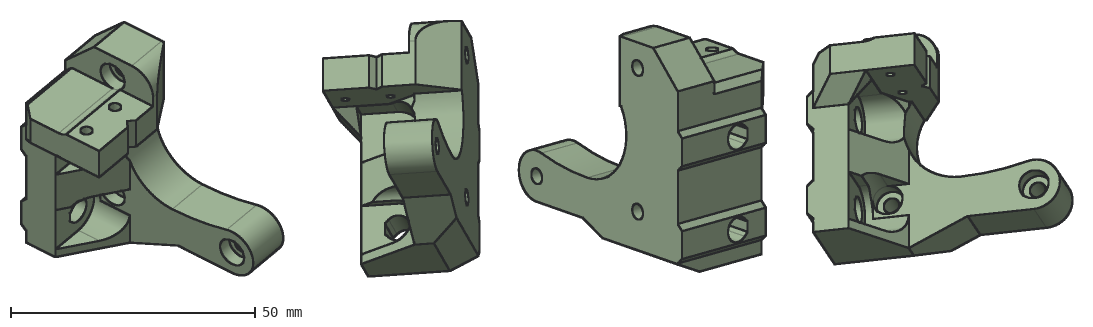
import cadquery as cq
import math


hole_pitch = 31.0
hole_centers = [(0, 0), (hole_pitch, 0), (0, hole_pitch)]
screw_dia = 3.3
head_radius = 6.2 / 2
head_floor_depth = 7.0
bore_center = hole_pitch / 2
bore_radius = 12.0

plate_depth = 10.05
boss_radius = 5.5
wall_depth = 23.0
wall_left = -12.35
wall_right = -4.75
bottom = -11.25
top = hole_pitch + boss_radius
top_chamfer = 7.5
gusset_right = 4.45
foot_right = 16.95

arm_right = 10.5
arm_depth = 28.0
arm_bottom = 21.45
arm_top = 28.55
arm_low_top = hole_pitch - head_radius
arm_edge_chamfer = 1.7
arm_overhang = arm_depth - wall_depth
relief_left = 5.5
relief_depth = 8.65

pin_depths = [15.0, 24.45]
pin_top_dia = 2.5
pin_bottom_dia = 1.6
notch_size = 1.35
notch_depth = 17.0

rail_levels = [-3.85, 16.15]
rail_screw_depth = 15.35
rail_screw_radius = 2.7
rail_head_radius = 5.25
tongue_height = 1.3
tongue_base = 8.55
tongue_tip = 6.0

bevel_depth = 5.95
bevel_height = 2.85


def frontal_plane(depth=0.0):
    """XZ sketch plane at a depth; extrusions run towards -Y."""
    return cq.Workplane("XZ", origin=(0, -depth, 0))


def plan_prism(points, low, high):
    """Vertical prism between two levels from (x, depth) points."""
    outline = [(x, -depth) for x, depth in points]
    return cq.Workplane("XY", origin=(0, 0, low)).polyline(outline).close().extrude(high - low)


def side_prism(points, left, right):
    """Prism along X from (depth, z) points."""
    outline = [(-depth, z) for depth, z in points]
    return cq.Workplane("YZ", origin=(left, 0, 0)).polyline(outline).close().extrude(right - left)


def make_plate():
    """Motor plate, still without the bore; the blend is tangent to the bore and the end boss."""
    bore_low = bore_center - bore_radius
    run = hole_pitch - bore_center
    blend_radius = (run**2 + bore_low**2 - boss_radius**2) / (2 * (boss_radius - bore_low))
    blend_center_z = bore_low + blend_radius
    blend_angle = math.atan2(run, blend_center_z)

    def blend_point(angle):
        x = bore_center + blend_radius * math.sin(angle)
        return (x, blend_center_z - blend_radius * math.cos(angle))

    plate = (
        frontal_plane()
        .moveTo(wall_left, bottom)
        .lineTo(gusset_right, bottom)
        .lineTo(foot_right, -boss_radius)
        .lineTo(hole_pitch, -boss_radius)
        .threePointArc((hole_pitch + boss_radius, 0), blend_point(blend_angle))
        .threePointArc(blend_point(blend_angle / 2), (bore_center, bore_low))
        .lineTo(bore_center, arm_bottom)
        .lineTo(arm_right, arm_bottom)
        .lineTo(arm_right, top - boss_radius)
        .radiusArc((arm_right - boss_radius, top), -boss_radius)
        .lineTo(wall_left + top_chamfer, top)
        .lineTo(wall_left, top - top_chamfer)
        .close()
        .extrude(plate_depth)
    )
    relief = plan_prism(
        [(relief_left, 0), (arm_right, relief_depth), (arm_right, 0)], arm_bottom, top
    )
    return plate.cut(relief)


def make_wall():
    """Wall carrying the rail, with a slanted gusset that runs out on the plate face."""
    outline = [
        (wall_left, 0),
        (wall_left, wall_depth),
        (wall_right, wall_depth),
        (gusset_right, plate_depth),
        (gusset_right, 0),
    ]
    return plan_prism(outline, bottom, arm_bottom)


def make_bore():
    """Left part of the round bore, ending level with the underside of the arm."""
    end_x = bore_center - math.sqrt(bore_radius**2 - (arm_bottom - bore_center) ** 2)
    middle = bore_center - bore_radius * math.sqrt(0.5)
    return (
        frontal_plane()
        .moveTo(bore_center, bore_center - bore_radius)
        .threePointArc((middle, middle), (end_x, arm_bottom))
        .lineTo(bore_center, arm_bottom)
        .close()
        .extrude(wall_depth)
    )


def make_arm():
    """Arm over the wall, grooved by the upper screw head path and braced at 45 degrees below."""
    groove_right = math.sqrt(head_radius**2 - (hole_pitch - arm_top) ** 2)
    brace_bottom = arm_bottom - arm_overhang
    arm = (
        frontal_plane(plate_depth)
        .moveTo(wall_left, brace_bottom)
        .lineTo(wall_right, brace_bottom)
        .lineTo(wall_right + arm_overhang, arm_bottom)
        .lineTo(arm_right, arm_bottom)
        .lineTo(arm_right, arm_top)
        .lineTo(groove_right, arm_top)
        .radiusArc((0, arm_low_top), head_radius)
        .lineTo(wall_left + arm_edge_chamfer, arm_low_top)
        .lineTo(wall_left, arm_low_top - arm_edge_chamfer)
        .close()
        .extrude(arm_depth - plate_depth)
    )
    underside = side_prism(
        [(wall_depth, brace_bottom), (arm_depth, arm_bottom), (arm_depth, brace_bottom)],
        wall_left,
        arm_right,
    )
    corner = plan_prism(
        [(wall_left, wall_depth), (wall_left + arm_overhang, arm_depth), (wall_left, arm_depth)],
        bottom,
        top,
    )
    notch = plan_prism(
        [
            (arm_right, notch_depth - notch_size),
            (arm_right - notch_size, notch_depth),
            (arm_right, notch_depth + notch_size),
        ],
        arm_bottom,
        arm_top,
    )
    arm = arm.cut(underside).cut(corner).cut(notch)
    for depth in pin_depths:
        pin_hole = (
            cq.Workplane("XY", origin=(gusset_right, -depth, arm_bottom))
            .circle(pin_bottom_dia / 2)
            .workplane(offset=arm_top - arm_bottom)
            .circle(pin_top_dia / 2)
            .loft()
        )
        arm = arm.cut(pin_hole)
    return arm


def make_tongue(level):
    """Trapezoidal rail tongue across the full depth of the wall."""
    return (
        frontal_plane()
        .moveTo(wall_left, level - tongue_base / 2)
        .lineTo(wall_left - tongue_height, level - tongue_tip / 2)
        .lineTo(wall_left - tongue_height, level + tongue_tip / 2)
        .lineTo(wall_left, level + tongue_base / 2)
        .close()
        .extrude(wall_depth)
    )


def make_rail_screw_cut(level):
    """Screw hole with a blunt teardrop peak towards -Y, plus an open channel for the screw head."""
    start = wall_left - tongue_height
    flank = rail_screw_radius * math.sqrt(0.5)
    peak_half_width = rail_screw_radius * math.tan(math.pi / 8)
    hole = (
        cq.Workplane("YZ", origin=(start, -rail_screw_depth, level))
        .circle(rail_screw_radius)
        .extrude(wall_right - start)
    )
    peak = side_prism(
        [
            (rail_screw_depth + flank, level - flank),
            (rail_screw_depth + rail_screw_radius, level - peak_half_width),
            (rail_screw_depth + rail_screw_radius, level + peak_half_width),
            (rail_screw_depth + flank, level + flank),
        ],
        start,
        wall_right,
    )
    channel = (
        cq.Workplane("YZ", origin=(wall_right, -rail_screw_depth, level))
        .circle(rail_head_radius)
        .extrude(gusset_right - wall_right)
    )
    channel_mouth = side_prism(
        [
            (rail_screw_depth, level - rail_head_radius),
            (wall_depth, level - rail_head_radius),
            (wall_depth, level + rail_head_radius),
            (rail_screw_depth, level + rail_head_radius),
        ],
        wall_right,
        gusset_right,
    )
    return hole.union(peak).union(channel).union(channel_mouth)


def make_motor_screw_cuts():
    """Screw holes with head counterbores in the plate."""
    holes = frontal_plane().pushPoints(hole_centers).circle(screw_dia / 2).extrude(plate_depth)
    heads = (
        frontal_plane(head_floor_depth)
        .pushPoints(hole_centers)
        .circle(head_radius)
        .extrude(plate_depth - head_floor_depth)
    )
    return holes.union(heads)


def make_gusset_pocket():
    """Recess in the gusset down to the plate face, around the lower left screw head."""
    return (
        frontal_plane(plate_depth)
        .moveTo(0, head_radius)
        .lineTo(gusset_right, head_radius)
        .lineTo(gusset_right, rail_levels[0])
        .lineTo(-head_radius, rail_levels[0])
        .lineTo(-head_radius, 0)
        .radiusArc((0, head_radius), head_radius)
        .close()
        .extrude(wall_depth - plate_depth)
    )


result = make_plate().union(make_wall()).cut(make_bore()).union(make_arm())
for rail_level in rail_levels:
    result = result.union(make_tongue(rail_level))
for rail_level in rail_levels:
    result = result.cut(make_rail_screw_cut(rail_level))
result = result.cut(make_gusset_pocket()).cut(make_motor_screw_cuts())

bottom_bevel = side_prism(
    [(0, bottom), (bevel_depth, bottom), (0, bottom + bevel_height)],
    wall_left,
    hole_pitch,
)
result = result.cut(bottom_bevel)